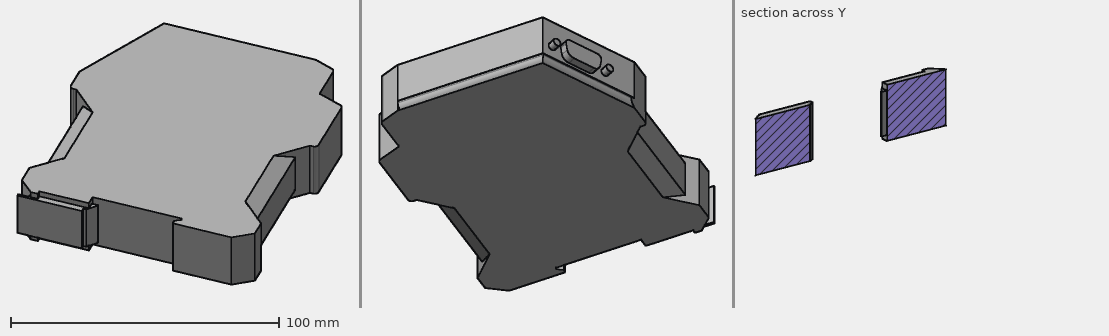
import cadquery as cq
import math

WIDTH = 99.0
HEIGHT = 114.2
THICKNESS = 22.6

RAIL_RISE = 1.3
RAIL_WIDTH = 4.7
RAIL_CREST_Z = 2.7
RAIL_END_X = 79.0
RAIL_OVERRUN = 11.4

SLOPE_START_Y = 74.7
SLOPE_RATIO = 2.0
TOP_Y = HEIGHT - RAIL_RISE
SLOPE_END_X = (TOP_Y - SLOPE_START_Y) / SLOPE_RATIO
SLOPE_ANGLE = math.atan(SLOPE_RATIO)

TOP_END_X = 79.7
STEP_X = 88.4
STEP_UPPER_Y = 109.7
STEP_LOWER_Y = 94.5
SHOULDER_Y = 90.6
STEP_RADIUS = 1.6

KNEE_INSET = 2.9
KNEE_Y = 64.2
KNEE_RADIUS = 1.6
WAIST_INSET = 13.4
WAIST_TOP_Y = KNEE_Y - (WAIST_INSET - KNEE_INSET)
WAIST_BOTTOM_Y = 24.5
BASE_INSET = 3.2
BASE_TOP_Y = WAIST_BOTTOM_Y - (WAIST_INSET - BASE_INSET)

BASE_Y = 2.5
RECESS_Y = 6.4
RECESS_LEFT_X = 31.5
RECESS_RIGHT_X = 67.2
LIP_X = 65.0
LIP_CHAMFER = 0.3
LIP_UPPER_Y = 5.5
LIP_LOWER_Y = 4.1
RIGHT_CORNER_X = 88.5
RIGHT_CORNER_Y = 7.9
LEFT_CORNER_Y = 6.4
FOOT_LEFT_X = 8.9
FOOT_RIGHT_X = 11.8

GRIP_INSET = 7.1
GRIP_BEVEL = 3.5

CLIP_WIDTH = 17.8
CLIP_LEFT_X = 3.9
CLIP_RIGHT_X = 29.7
CLIP_THICKNESS = 0.9
HEEL_X = 8.1
HEEL_Y = 1.7
LATCH_Y = 1.5
LATCH_START_X = 31.0
LATCH_TIP_X = 34.0
LATCH_TIP_Y = 5.1
LATCH_TOP_Y = 5.5

CONNECTOR_ALONG = 26.2
CONNECTOR_Z = 10.3
SHELL_LENGTH = 17.3
SHELL_DEPTH = 7.9
SHELL_RISE = 3.3
SHELL_TAPER = math.radians(10)
SHELL_TOP_RADIUS = 1.9
SHELL_BOTTOM_RADIUS = 3.2
SCREW_SPACING = 24.6
SCREW_DIAMETER = 3.2
SCREW_RISE = 3.2
EMBED = 1.1


def make_housing():
    right_knee_x = WIDTH - KNEE_INSET
    right_waist_x = WIDTH - WAIST_INSET
    right_base_x = WIDTH - BASE_INSET
    outline = [
        (0, SLOPE_START_Y),
        (SLOPE_END_X, TOP_Y),
        (TOP_END_X, TOP_Y),
        (STEP_X, STEP_UPPER_Y),
        (STEP_X, STEP_LOWER_Y),
        (WIDTH, SHOULDER_Y),
        (WIDTH, KNEE_Y),
        (right_knee_x, KNEE_Y),
        (right_waist_x, WAIST_TOP_Y),
        (right_waist_x, WAIST_BOTTOM_Y),
        (right_base_x, BASE_TOP_Y),
        (right_base_x, RIGHT_CORNER_Y),
        (RIGHT_CORNER_X, BASE_Y),
        (LIP_X + LIP_CHAMFER, BASE_Y),
        (LIP_X, BASE_Y + LIP_CHAMFER),
        (LIP_X, LIP_LOWER_Y),
        (RECESS_RIGHT_X, LIP_UPPER_Y),
        (RECESS_RIGHT_X, RECESS_Y),
        (RECESS_LEFT_X, RECESS_Y),
        (RECESS_LEFT_X, BASE_Y),
        (FOOT_RIGHT_X, BASE_Y),
        (FOOT_RIGHT_X, CLIP_THICKNESS),
        (FOOT_LEFT_X, CLIP_THICKNESS),
        (BASE_INSET, LEFT_CORNER_Y),
        (BASE_INSET, BASE_TOP_Y),
        (WAIST_INSET, WAIST_BOTTOM_Y),
        (WAIST_INSET, WAIST_TOP_Y),
        (KNEE_INSET, KNEE_Y),
        (0, KNEE_Y),
    ]
    housing = cq.Workplane("XY").polyline(outline).close().extrude(THICKNESS)
    rounded_corners = [
        (STEP_X, STEP_UPPER_Y, STEP_RADIUS),
        (WIDTH, SHOULDER_Y, STEP_RADIUS),
        (WIDTH, KNEE_Y, KNEE_RADIUS),
        (0, KNEE_Y, KNEE_RADIUS),
    ]
    for x, y, radius in rounded_corners:
        corner = cq.selectors.NearestToPointSelector((x, y, THICKNESS / 2))
        housing = housing.edges("|Z").edges(corner).fillet(radius)
    return housing


def make_grip():
    """Left grip: a wedge-sided bar that fills the waist between its flanks."""
    flank = WAIST_INSET - GRIP_INSET
    footprint = [
        (GRIP_INSET, WAIST_BOTTOM_Y - flank),
        (GRIP_INSET, WAIST_TOP_Y + flank),
        (WAIST_INSET, WAIST_TOP_Y),
        (WAIST_INSET, WAIST_BOTTOM_Y),
    ]
    section = [
        (GRIP_INSET, GRIP_BEVEL),
        (WAIST_INSET, 0),
        (WAIST_INSET, THICKNESS),
        (GRIP_INSET, THICKNESS - GRIP_BEVEL),
    ]
    block = cq.Workplane("XY").polyline(footprint).close().extrude(THICKNESS)
    wedge = cq.Workplane("XZ").polyline(section).close().extrude(-HEIGHT)
    return block.intersect(wedge)


def crest_radius(span):
    """Radius of an arc that falls by the rail rise over the given span from its crest."""
    return (span**2 + RAIL_RISE**2) / (2 * RAIL_RISE)


def make_rail():
    """Rounded rail swept up the slope and along the top, trimmed at the left side."""
    start = (-RAIL_OVERRUN, SLOPE_START_Y - RAIL_OVERRUN * SLOPE_RATIO)
    path = cq.Workplane("XY").polyline([start, (SLOPE_END_X, TOP_Y), (RAIL_END_X, TOP_Y)])
    across = cq.Plane(
        origin=(start[0], start[1], 0),
        xDir=(-math.sin(SLOPE_ANGLE), math.cos(SLOPE_ANGLE), 0),
        normal=(math.cos(SLOPE_ANGLE), math.sin(SLOPE_ANGLE), 0),
    )
    section = (
        cq.Workplane(across)
        .radiusArc((RAIL_RISE, RAIL_CREST_Z), -crest_radius(RAIL_CREST_Z))
        .radiusArc((0, RAIL_WIDTH), -crest_radius(RAIL_WIDTH - RAIL_CREST_Z))
        .close()
    )
    rail = section.sweep(path, transition="right")
    envelope = cq.Workplane("XY").box(WIDTH, HEIGHT, THICKNESS, centered=False)
    return rail.intersect(envelope)


def make_clip():
    outline = [
        (CLIP_LEFT_X, 0),
        (CLIP_RIGHT_X, 0),
        (CLIP_RIGHT_X, LATCH_Y),
        (LATCH_START_X, LATCH_Y),
        (LATCH_TIP_X, LATCH_TIP_Y),
        (LATCH_TIP_X, LATCH_TOP_Y),
        (FOOT_RIGHT_X, LATCH_TOP_Y),
        (FOOT_RIGHT_X, HEEL_Y),
        (HEEL_X, HEEL_Y),
        (HEEL_X, CLIP_THICKNESS),
        (CLIP_LEFT_X, CLIP_THICKNESS),
    ]
    clip_base = cq.Workplane("XY").workplane(offset=(THICKNESS - CLIP_WIDTH) / 2)
    return clip_base.polyline(outline).close().extrude(CLIP_WIDTH)


def make_connector():
    """D-shaped shell between two screws, standing on the sloped face."""
    face = cq.Plane(
        origin=(
            CONNECTOR_ALONG * math.cos(SLOPE_ANGLE),
            SLOPE_START_Y + CONNECTOR_ALONG * math.sin(SLOPE_ANGLE),
            CONNECTOR_Z,
        ),
        xDir=(-math.cos(SLOPE_ANGLE), -math.sin(SLOPE_ANGLE), 0),
        normal=(-math.sin(SLOPE_ANGLE), math.cos(SLOPE_ANGLE), 0),
    )
    sunk_face = cq.Workplane(face).workplane(offset=-EMBED)
    top_half = SHELL_LENGTH / 2
    bottom_half = top_half - SHELL_DEPTH * math.tan(SHELL_TAPER)
    shell_outline = [
        (-top_half, SHELL_DEPTH / 2),
        (top_half, SHELL_DEPTH / 2),
        (bottom_half, -SHELL_DEPTH / 2),
        (-bottom_half, -SHELL_DEPTH / 2),
    ]
    shell = sunk_face.polyline(shell_outline).close().extrude(SHELL_RISE + EMBED)
    long_edges = shell.edges(cq.selectors.ParallelDirSelector(face.zDir))
    shell = long_edges.edges(">Z").fillet(SHELL_TOP_RADIUS)
    long_edges = shell.edges(cq.selectors.ParallelDirSelector(face.zDir))
    shell = long_edges.edges("<Z").fillet(SHELL_BOTTOM_RADIUS)
    screw_places = [(-SCREW_SPACING / 2, 0), (SCREW_SPACING / 2, 0)]
    screws = sunk_face.pushPoints(screw_places).circle(SCREW_DIAMETER / 2).extrude(SCREW_RISE + EMBED)
    return shell.union(screws)


left_grip = make_grip()
right_grip = left_grip.mirror("YZ", (WIDTH / 2, 0, 0))

result = make_housing()
for feature in (left_grip, right_grip, make_rail(), make_clip(), make_connector()):
    result = result.union(feature)